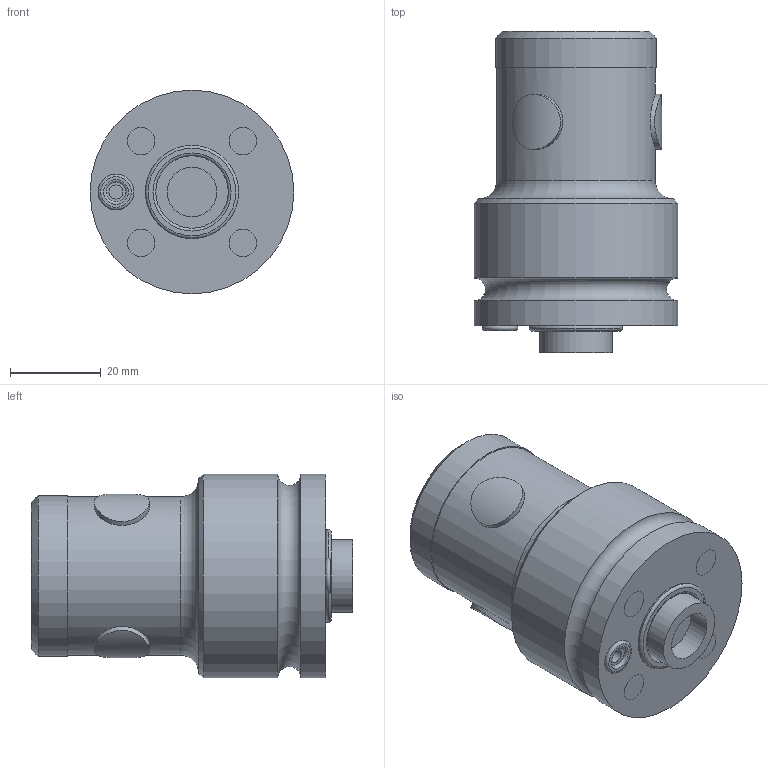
import cadquery as cq
import math


BODY_RADIUS = 22.5
BODY_LENGTH = 65.0
FLANGE_THICKNESS = 5.5
GROOVE_RADIUS = 2.5
SHOULDER_Y = 28.0
SHOULDER_CHAMFER = 1.0
SHANK_RADIUS = 17.5
BAND_RADIUS = 17.75
BAND_LENGTH = 8.0
BAND_CHAMFER = 1.5
groove_end_y = FLANGE_THICKNESS + 2 * GROOVE_RADIUS
shoulder_radius = BODY_RADIUS - SHOULDER_CHAMFER
fillet_radius = shoulder_radius - SHANK_RADIUS
band_y = BODY_LENGTH - BAND_LENGTH

NOSE_RADIUS = 8.0
NOSE_LENGTH = 6.0
BORE_RADIUS = 5.5
BORE_DEPTH = 5.0
NOSE_SEAL_RADIUS = 10.3
NOSE_SEAL_HEIGHT = 1.25

PORT_X = -16.8
PORT_RADIUS = 1.55
PORT_DEPTH = 5.0
PORT_SEAL_INNER_RADIUS = 2.15
PORT_SEAL_OUTER_RADIUS = 3.95
PORT_SEAL_HEIGHT = 1.1

PLUG_RADIUS = 3.05
PLUG_OFFSET = 11.25
PLUG_LENGTH = FLANGE_THICKNESS

PAD_ANGLES = (0, 120, 240)
PAD_Y = 45.0
PAD_RADIUS = 6.1
PAD_CROWN_RADIUS = 13.0
PAD_HEIGHT = 1.4
pad_top_radius = SHANK_RADIUS + PAD_HEIGHT

DIAGONAL = math.sqrt(0.5)


def make_body():
    """Turn the body, nose and nose seal ring from one half section at -X."""
    seal_round = NOSE_SEAL_HEIGHT / 2
    seal_top_inner = NOSE_RADIUS + seal_round
    seal_top_outer = NOSE_SEAL_RADIUS - seal_round
    seal_reach = seal_round * DIAGONAL
    fillet_reach = fillet_radius * (1 - DIAGONAL)
    section = (
        cq.Workplane("XY")
        .moveTo(0, -NOSE_LENGTH)
        .lineTo(-NOSE_RADIUS, -NOSE_LENGTH)
        .lineTo(-NOSE_RADIUS, -seal_round)
        .threePointArc(
            (-seal_top_inner + seal_reach, -seal_round - seal_reach),
            (-seal_top_inner, -NOSE_SEAL_HEIGHT),
        )
        .lineTo(-seal_top_outer, -NOSE_SEAL_HEIGHT)
        .threePointArc(
            (-seal_top_outer - seal_reach, -seal_round - seal_reach),
            (-NOSE_SEAL_RADIUS, -seal_round),
        )
        .threePointArc(
            (-seal_top_outer - seal_reach, -seal_round + seal_reach),
            (-seal_top_outer, 0),
        )
        .lineTo(-BODY_RADIUS, 0)
        .lineTo(-BODY_RADIUS, FLANGE_THICKNESS)
        .threePointArc(
            (-BODY_RADIUS + GROOVE_RADIUS, FLANGE_THICKNESS + GROOVE_RADIUS),
            (-BODY_RADIUS, groove_end_y),
        )
        .lineTo(-BODY_RADIUS, SHOULDER_Y - SHOULDER_CHAMFER)
        .lineTo(-shoulder_radius, SHOULDER_Y)
        .threePointArc(
            (-SHANK_RADIUS - fillet_reach, SHOULDER_Y + fillet_reach),
            (-SHANK_RADIUS, SHOULDER_Y + fillet_radius),
        )
        .lineTo(-SHANK_RADIUS, band_y)
        .lineTo(-BAND_RADIUS, band_y)
        .lineTo(-BAND_RADIUS, BODY_LENGTH - BAND_CHAMFER)
        .lineTo(-BAND_RADIUS + BAND_CHAMFER, BODY_LENGTH)
        .lineTo(0, BODY_LENGTH)
        .close()
    )
    return section.revolve(360, (0, 0), (0, 1))


def rod(radius, start_y, length, x=0.0, z=0.0):
    """A cylinder along +Y that starts at start_y."""
    start = cq.Vector(x, start_y, z)
    return cq.Workplane(cq.Solid.makeCylinder(radius, length, start, cq.Vector(0, 1, 0)))


def make_pad(angle):
    """A round pad with a cylindrical crown, turned about Y to its angle."""
    foot = SHANK_RADIUS / 2
    stem = cq.Solid.makeCylinder(
        PAD_RADIUS, pad_top_radius - foot, cq.Vector(foot, PAD_Y, 0), cq.Vector(1, 0, 0)
    )
    crown = rod(PAD_CROWN_RADIUS, PAD_Y - PAD_RADIUS, 2 * PAD_RADIUS, x=pad_top_radius - PAD_CROWN_RADIUS)
    return cq.Workplane(stem).intersect(crown).rotate((0, 0, 0), (0, 1, 0), -angle)


def make_port_seal():
    """A seal ring of stadium section resting on the flange face."""
    width = PORT_SEAL_OUTER_RADIUS - PORT_SEAL_INNER_RADIUS
    middle_radius = PORT_SEAL_INNER_RADIUS + width / 2
    return (
        cq.Workplane("XY")
        .center(PORT_X, 0)
        .moveTo(-middle_radius, -PORT_SEAL_HEIGHT / 2)
        .slot2D(width, PORT_SEAL_HEIGHT)
        .revolve(360, (0, 0), (0, 1))
    )


result = make_body().cut(rod(BORE_RADIUS, -NOSE_LENGTH, BORE_DEPTH))
for pad_angle in PAD_ANGLES:
    result = result.union(make_pad(pad_angle))
result = result.union(make_port_seal())
result = result.cut(rod(PORT_RADIUS, 0, PORT_DEPTH, x=PORT_X))

for plug_x in (-PLUG_OFFSET, PLUG_OFFSET):
    for plug_z in (-PLUG_OFFSET, PLUG_OFFSET):
        plug = rod(PLUG_RADIUS, 0, PLUG_LENGTH, plug_x, plug_z)
        result = result.union(plug, clean=False)

result = result.solids()